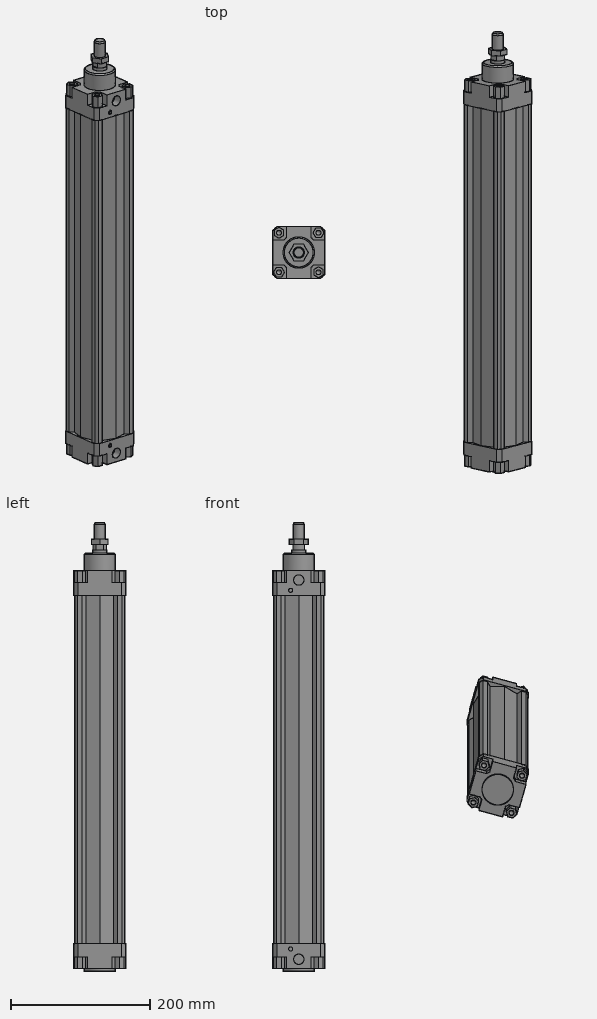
import cadquery as cq
import math


total_height = 644.0
rod_overhang = 69.0
cap_height = 36.0
rear_collar_height = 4.0
front_collar_height = 25.0
rear_cap_bottom = rear_collar_height
rear_cap_top = rear_cap_bottom + cap_height
front_cap_top = total_height - rod_overhang
front_cap_bottom = front_cap_top - cap_height
front_collar_top = front_cap_top + front_collar_height

cap_width = 75.0
cap_half = cap_width / 2
cap_chamfer = 6.0
collar_diameter = 45.0
collar_chamfer = 2.0

notch_gap = 35.5
notch_inner = notch_gap / 2
notch_depth = 17.0
notch_size = cap_half - notch_inner
notch_corner_chamfer = 4.0

tie_spacing = 56.5
tie_offset = tie_spacing / 2
tie_nut_across_flats = 13.5
tie_socket_diameter = 7.0
tie_socket_depth = 2.5
drill_tip_angle = 118.0

port_diameter = 15.0
port_depth = 13.0
port_inset = 13.5
cushion_diameter = 6.0
cushion_depth = 3.0
cushion_x = -11.5
cushion_inset = 28.5

barrel_width = 72.0
barrel_half = barrel_width / 2
barrel_chamfer = 4.0
recess_mouth_width = 51.0
recess_floor_width = 40.0
recess_depth = 5.5
ridge_angle = 15.0

rod_diameter = 20.5
wrench_section_diameter = 20.0
rod_flats_width = 17.0
rod_flats_height = 8.0
thread_diameter = 16.0
thread_length = 31.5
thread_chamfer_length = 2.5
thread_chamfer_inset = 1.0
rod_shoulder = total_height - thread_length
rod_flats_bottom = rod_shoulder - rod_flats_height

lock_nut_across_flats = 24.0
lock_nut_height = 8.0


def hexagon_diameter(across_flats):
    """Corner-to-corner size of a hexagon."""
    return across_flats / math.cos(math.radians(30))


def round_bar(diameter, bottom, top):
    """Upright cylinder on the axis between two heights."""
    return cq.Workplane("XY").workplane(offset=bottom).circle(diameter / 2).extrude(top - bottom)


def barrel_side():
    """Points along the -Y side of the barrel, from its left corner chamfer to its right one."""
    face = -barrel_half
    corner = barrel_half - barrel_chamfer
    mouth_half = recess_mouth_width / 2
    floor_half = recess_floor_width / 2
    floor = face + recess_depth
    ridge = floor - floor_half * math.tan(math.radians(ridge_angle))
    return [
        (-corner, face),
        (-mouth_half, face),
        (-floor_half, floor),
        (0, ridge),
        (floor_half, floor),
        (mouth_half, face),
        (corner, face),
    ]


def quarter_turn(point, turns):
    """The point turned about the axis by a number of quarter turns."""
    x, y = point
    for _ in range(turns):
        x, y = -y, x
    return (x, y)


def make_barrel():
    outline = [quarter_turn(point, turns) for turns in range(4) for point in barrel_side()]
    return (
        cq.Workplane("XY")
        .workplane(offset=rear_cap_top)
        .polyline(outline)
        .close()
        .extrude(front_cap_bottom - rear_cap_top)
    )


def corner_notch():
    """Cutter for the notch in the (-X, -Y) corner of a cap."""
    center = -(cap_half + notch_inner) / 2
    return (
        cq.Workplane("XY")
        .workplane(offset=cap_height - notch_depth)
        .center(center, center)
        .rect(notch_size, notch_size)
        .extrude(notch_depth)
        .edges("|Z and >X and >Y")
        .chamfer(notch_corner_chamfer)
    )


def tie_nut():
    """Hexagonal tie-rod nut in the (-X, -Y) corner, with a drilled socket in its top."""
    nut = (
        cq.Workplane("XY")
        .workplane(offset=cap_height - notch_depth)
        .center(-tie_offset, -tie_offset)
        .polygon(6, hexagon_diameter(tie_nut_across_flats))
        .extrude(notch_depth)
    )
    socket_radius = tie_socket_diameter / 2
    tip_height = socket_radius / math.tan(math.radians(drill_tip_angle / 2))
    socket_bottom = cap_height - tie_socket_depth
    socket = (
        cq.Workplane("XZ")
        .moveTo(0, cap_height)
        .lineTo(socket_radius, cap_height)
        .lineTo(socket_radius, socket_bottom)
        .lineTo(0, socket_bottom - tip_height)
        .close()
        .revolve(360, (0, 0, 0), (0, 1, 0))
        .translate((-tie_offset, -tie_offset, 0))
    )
    return nut.cut(socket)


def side_hole(x, z, diameter, depth):
    """Cutter for a blind hole into the -Y face of a cap."""
    return (
        cq.Workplane("XZ", origin=(x, -cap_half, z))
        .circle(diameter / 2)
        .extrude(-depth)
    )


def make_cap():
    """End cap with its inner face on Z = 0 and its outer end facing +Z."""
    cap = (
        cq.Workplane("XY")
        .rect(cap_width, cap_width)
        .extrude(cap_height)
        .edges("|Z")
        .chamfer(cap_chamfer)
    )
    for corner in range(4):
        turn = ((0, 0, 0), (0, 0, 1), 90 * corner)
        cap = cap.cut(corner_notch().rotate(*turn))
        cap = cap.union(tie_nut().rotate(*turn))
    cap = cap.cut(side_hole(0, cap_height - port_inset, port_diameter, port_depth))
    return cap.cut(side_hole(cushion_x, cap_height - cushion_inset, cushion_diameter, cushion_depth))


def make_housing():
    front_cap = make_cap().translate((0, 0, front_cap_bottom))
    rear_cap = make_cap().mirror("XY").translate((0, 0, rear_cap_top))
    front_collar = round_bar(collar_diameter, front_cap_top, front_collar_top)
    front_collar = front_collar.faces(">Z").chamfer(collar_chamfer)
    rear_collar = round_bar(collar_diameter, 0, rear_cap_bottom)
    rod_bore = round_bar(rod_diameter, front_cap_bottom, front_collar_top)
    return (
        make_barrel()
        .union(front_cap)
        .union(rear_cap)
        .union(front_collar)
        .union(rear_collar)
        .cut(rod_bore)
    )


def make_rod():
    """Rod from the bottom of its bore to the tip, with two wrench flats below the thread."""
    shank = round_bar(rod_diameter, front_cap_bottom, rod_flats_bottom)
    flats = (
        cq.Workplane("XY")
        .workplane(offset=rod_flats_bottom)
        .rect(rod_flats_width, wrench_section_diameter)
        .extrude(rod_flats_height)
    )
    wrench_section = round_bar(wrench_section_diameter, rod_flats_bottom, rod_shoulder).intersect(flats)
    thread = round_bar(thread_diameter, rod_shoulder, total_height)
    thread = thread.faces(">Z").chamfer(thread_chamfer_length, thread_chamfer_inset)
    return shank.union(wrench_section).union(thread)


def make_lock_nut():
    """Hexagonal nut seated on the rod shoulder."""
    return (
        cq.Workplane("XY")
        .workplane(offset=rod_shoulder)
        .polygon(6, hexagon_diameter(lock_nut_across_flats))
        .circle(thread_diameter / 2)
        .extrude(lock_nut_height)
    )


housing = make_housing()
piston_rod = make_rod()
lock_nut = make_lock_nut()

result = cq.Compound.makeCompound([housing.val(), piston_rod.val(), lock_nut.val()])